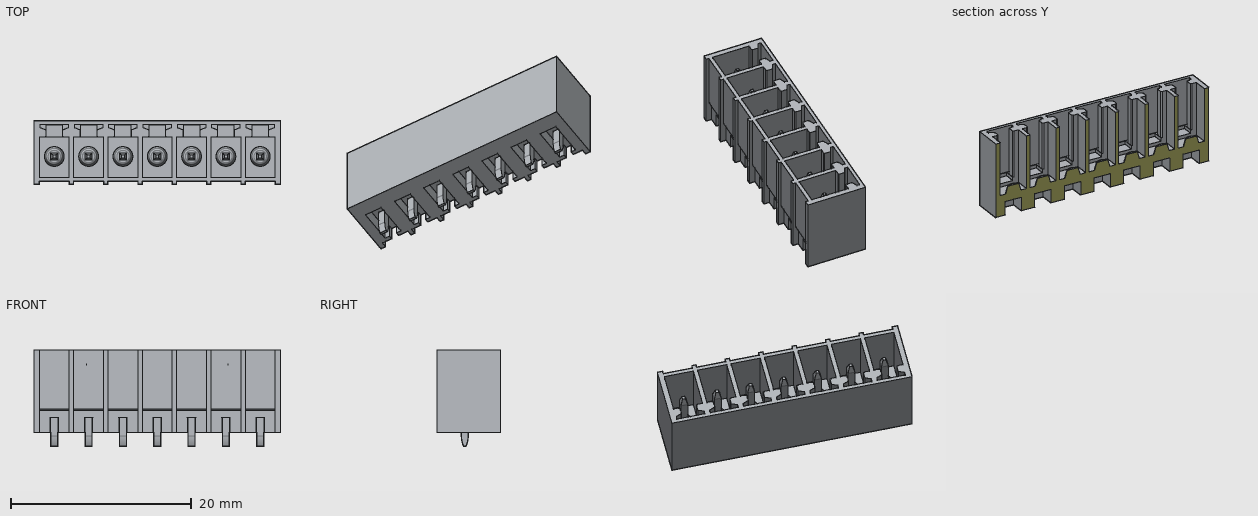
import cadquery as cq
import math


POLES = 7
PITCH = 3.8
LENGTH = 27.35
POLE_X = [(index - (POLES - 1) / 2) * PITCH for index in range(POLES)]

DEPTH = 7.05
HEIGHT = 9.2
CELL_WIDTH = 3.3

PANEL_RECESS = 0.33
SKIRT_RECESS = 0.65
SKIRT_TOP = 2.44
LEDGE_TOP = 2.65

FRONT_WALL = 0.45
CAVITY_FRONT = PANEL_RECESS + FRONT_WALL
CAVITY_BACK = DEPTH - 1.83
CAVITY_FLOOR = LEDGE_TOP

SLOT_BACK = DEPTH - 0.4
SLOT_WING_WIDTH = 3.17
SLOT_WING_FRONT = DEPTH - 0.77
SLOT_THROAT_Y = DEPTH - 1.05
NECK_WIDTH = 1.85
NECK_PIT_WIDTH = 1.83
MOUTH_BEVEL_X = 0.16
MOUTH_BEVEL_Y = 0.08
NECK_BACK = DEPTH - 0.5
WING_FLOOR = 3.47
NECK_FLOOR = 3.06

POCKET_WIDTH = 2.05
POCKET_HEIGHT = 1.67
SKIRT_WALL = 0.47
POCKET_FRONT = SKIRT_RECESS + SKIRT_WALL
NOTCH_WIDTH = 0.9

COLLAR_BASE_RADIUS = 1.1
COLLAR_NECK_RADIUS = 0.9
COLLAR_TOP_RADIUS = 0.68
COLLAR_CONE_HEIGHT = 0.68
COLLAR_RIM = COLLAR_NECK_RADIUS - COLLAR_TOP_RADIUS
COLLAR_TOP = COLLAR_CONE_HEIGHT + COLLAR_RIM

PIN_WIDTH = 0.8
PIN_Y = 3.1
PIN_TOP = 7.82
POINT_HEIGHT = 0.9
POINT_WIDTH = 0.33
TAIL_LENGTH = 1.5
TAIL_STRAIGHT = 0.38
TAIL_TIP_WIDTH = 0.27
TAIL_BULGE_WIDTH = 0.65


def block(width, y_front, y_back, z_low, z_high, x=0.0):
    """Box centred on x, between the given Y and Z limits."""
    box = cq.Workplane("XY").box(width, y_back - y_front, z_high - z_low, centered=(True, False, False))
    return box.translate((x, y_front, z_low))


def front_recess(x):
    """Space in front of a panel: shallow above, deeper below a sloping ledge."""
    profile = cq.Workplane("YZ").polyline([
        (0, 0),
        (SKIRT_RECESS, 0),
        (SKIRT_RECESS, SKIRT_TOP),
        (PANEL_RECESS, LEDGE_TOP),
        (PANEL_RECESS, HEIGHT),
        (0, HEIGHT),
    ]).close()
    return profile.extrude(CELL_WIDTH / 2, both=True).translate((x, 0, 0))


def coding_slot(x):
    """T-shaped slot with sloping wings, and a deeper neck opening into the cavity."""
    wing = SLOT_WING_WIDTH / 2
    neck = NECK_WIDTH / 2
    mouth = neck + MOUTH_BEVEL_X
    bevel_back = CAVITY_BACK + MOUTH_BEVEL_Y
    outline = cq.Workplane("XY").polyline([
        (-wing, SLOT_BACK),
        (wing, SLOT_BACK),
        (wing, SLOT_WING_FRONT),
        (neck, SLOT_THROAT_Y),
        (neck, bevel_back),
        (mouth, CAVITY_BACK),
        (-mouth, CAVITY_BACK),
        (-neck, bevel_back),
        (-neck, SLOT_THROAT_Y),
        (-wing, SLOT_WING_FRONT),
    ]).close()
    wings = outline.extrude(HEIGHT - WING_FLOOR).translate((x, 0, WING_FLOOR))
    return wings.union(block(NECK_PIT_WIDTH, CAVITY_BACK, NECK_BACK, NECK_FLOOR, HEIGHT, x))


def underside_pocket(x):
    """Pocket around the pin, with a notch through the skirt in front of it."""
    pocket = block(POCKET_WIDTH, POCKET_FRONT, CAVITY_BACK, 0, POCKET_HEIGHT, x)
    notch = block(NOTCH_WIDTH, SKIRT_RECESS, POCKET_FRONT, 0, POCKET_HEIGHT, x)
    return pocket.union(notch)


def collar(x):
    """Conical boss with a rounded rim, standing on the cavity floor."""
    rim_middle = COLLAR_RIM * math.sqrt(0.5)
    profile = (
        cq.Workplane("XZ")
        .lineTo(COLLAR_BASE_RADIUS, 0)
        .lineTo(COLLAR_NECK_RADIUS, COLLAR_CONE_HEIGHT)
        .threePointArc(
            (COLLAR_TOP_RADIUS + rim_middle, COLLAR_CONE_HEIGHT + rim_middle),
            (COLLAR_TOP_RADIUS, COLLAR_TOP),
        )
        .lineTo(0, COLLAR_TOP)
        .close()
    )
    return profile.revolve(360, (0, 0, 0), (0, 1, 0)).translate((x, PIN_Y, CAVITY_FLOOR))


def pin_hole(x):
    """Square hole through floor and collar that the pin fills."""
    half = PIN_WIDTH / 2
    return block(PIN_WIDTH, PIN_Y - half, PIN_Y + half, 0, HEIGHT, x)


def make_housing():
    body = block(LENGTH, 0, DEPTH, 0, HEIGHT)
    for x in POLE_X:
        body = body.cut(front_recess(x))
        body = body.cut(block(CELL_WIDTH, CAVITY_FRONT, CAVITY_BACK, CAVITY_FLOOR, HEIGHT, x))
        body = body.cut(coding_slot(x))
        body = body.cut(underside_pocket(x))
        body = body.union(collar(x))
        body = body.cut(pin_hole(x))
    return body


def make_pin(x):
    """Square pin with a pyramid point on top and a tail rounded off to front and back."""
    half = PIN_WIDTH / 2
    tip = TAIL_TIP_WIDTH / 2
    bulge = TAIL_BULGE_WIDTH / 2
    shoulder = PIN_TOP - POINT_HEIGHT
    bulge_z = -(TAIL_STRAIGHT + TAIL_LENGTH) / 2
    shaft = (
        cq.Workplane("YZ")
        .moveTo(-half, shoulder)
        .lineTo(-half, -TAIL_STRAIGHT)
        .threePointArc((-bulge, bulge_z), (-tip, -TAIL_LENGTH))
        .lineTo(tip, -TAIL_LENGTH)
        .threePointArc((bulge, bulge_z), (half, -TAIL_STRAIGHT))
        .lineTo(half, shoulder)
        .close()
        .extrude(half, both=True)
    )
    point = (
        cq.Workplane("XY", origin=(0, 0, shoulder))
        .rect(PIN_WIDTH, PIN_WIDTH)
        .workplane(offset=POINT_HEIGHT)
        .rect(POINT_WIDTH, POINT_WIDTH)
        .loft(ruled=True)
    )
    return shaft.union(point).translate((x, PIN_Y, 0))


housing = make_housing()
pins = [make_pin(x) for x in POLE_X]

result = cq.Compound.makeCompound([housing.val(), *[pin.val() for pin in pins]])